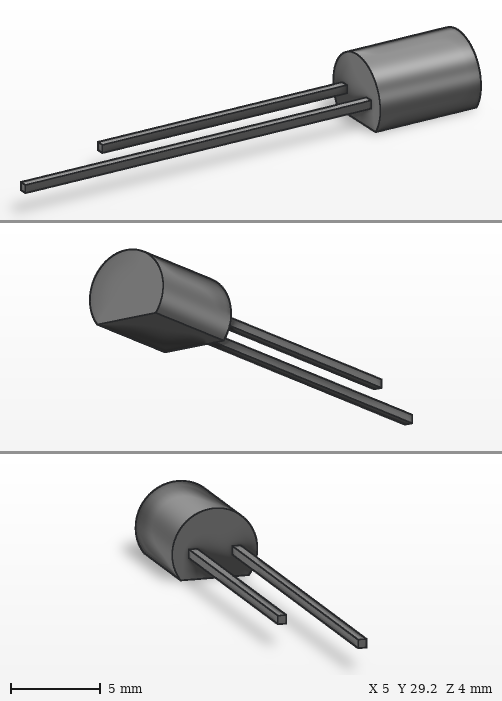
import cadquery as cq

overall_length = 29.2
body_diameter = 5.0
body_height = 4.0
body_length = 6.6
lead_width = 0.5
lead_pitch = 2.55
lead_length_difference = 6.6

body_radius = body_diameter / 2
flat_z = body_radius - body_height
long_lead_length = overall_length - body_length
short_lead_length = long_lead_length - lead_length_difference


def make_body():
    """Cylinder from y = 0 to y = body_length, cut flat underneath."""
    cylinder = cq.Workplane("XZ").circle(body_radius).extrude(-body_length)
    keep_above_flat = (
        cq.Workplane("XY")
        .workplane(offset=flat_z)
        .rect(body_diameter, 2 * body_length)
        .extrude(body_height)
    )
    return cylinder.intersect(keep_above_flat)


def make_lead(x, length):
    """Square lead running toward -Y from the front face of the body."""
    return cq.Workplane("XZ").center(x, 0).rect(lead_width, lead_width).extrude(length)


body = make_body()
lead_layout = [(-lead_pitch / 2, short_lead_length), (lead_pitch / 2, long_lead_length)]
leads = [make_lead(x, length) for x, length in lead_layout]

result = cq.Compound.makeCompound([body.val(), *[lead.val() for lead in leads]])